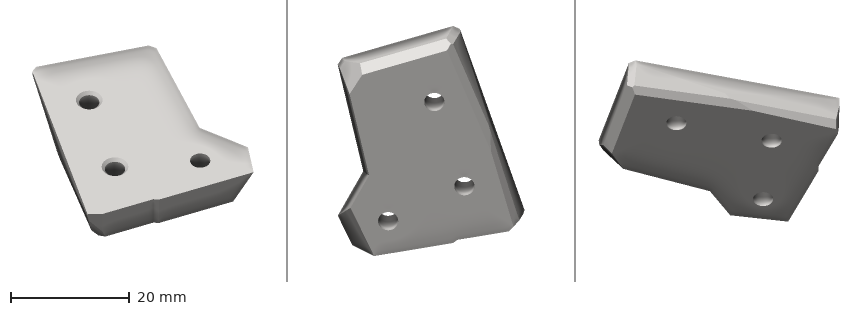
import cadquery as cq

LENGTH = 37.03
DEPTH = 30.25
THICKNESS = 5.5

FRONT_RIGHT_X = 36.45
RIGHT_CORNER_Y = 2.45
NICK_INNER = (35.85, 11.63)
NICK_OUTER = (36.18, 12.5)
NOSE_RIGHT = (34.0, 29.62)
NOSE_TIP = (27.95, DEPTH)
NOSE_ROOT = (21.33, 23.63)
BACK_CHAMFER_END = (0.95, 21.63)
BACK_CHAMFER_START_Y = 20.55
FRONT_CHAMFER_X = 0.9
FRONT_CHAMFER_Y = 0.9

NOSE_END_UNDERCUT = 3.65
BACK_UNDERCUT = 1.37
BACK_CHAMFER_UNDERCUT = 1.78
FRONT_CHAMFER_UNDERCUT = 1.7

LEFT_BEVEL = 1.48
BACK_CORNER_TOP_Z = 4.05
BACK_CORNER_LOW_Y = 17.35

HOLE_DIAMETER = 3.4
COUNTERSINK_DIAMETER = 4.48
COUNTERSINK_ANGLE = 90.0
FRONT_HOLES_Y = 7.45
COUNTERSUNK_HOLES = [(10.05, FRONT_HOLES_Y), (26.62, FRONT_HOLES_Y)]
PLAIN_HOLE = (28.95, 21.65)

INSIDE = cq.Vector(LENGTH / 2, DEPTH / 3, THICKNESS / 2)
CUTTER_SIZE = 4 * LENGTH


def outside(a, b, c):
    """Block filling the side away from INSIDE of the plane through three points."""
    a, b, c = cq.Vector(*a), cq.Vector(*b), cq.Vector(*c)
    normal = (b - a).cross(c - a)
    if normal.dot(INSIDE - a) > 0:
        normal = normal * -1
    plane = cq.Plane(origin=a, xDir=b - a, normal=normal)
    return cq.Workplane(plane).box(CUTTER_SIZE, CUTTER_SIZE, CUTTER_SIZE, centered=(True, True, False))


def outside_sloped_side(start, end, shift_y=0.0):
    """Cutter for a side through a top edge, moved along Y by the shift at the bottom face."""
    return outside(
        (*start, THICKNESS),
        (*end, THICKNESS),
        (start[0], start[1] + shift_y, 0),
    )


def blank():
    """Upright plate with the plain left, front and right sides."""
    corners = [
        (0, 0),
        (FRONT_RIGHT_X, 0),
        (LENGTH, RIGHT_CORNER_Y),
        NICK_INNER,
        NICK_OUTER,
        NOSE_RIGHT,
        NOSE_TIP,
        (0, DEPTH),
    ]
    return cq.Workplane("XY").polyline(corners).close().extrude(THICKNESS)


def cut_back_sides(body):
    """Undercut nose end, upright nose flank and undercut back side."""
    body = body.cut(outside_sloped_side(NOSE_TIP, NOSE_RIGHT, shift_y=-NOSE_END_UNDERCUT))
    nose_flank = outside_sloped_side(NOSE_ROOT, NOSE_TIP)
    back_side = outside_sloped_side(BACK_CHAMFER_END, NOSE_ROOT, shift_y=-BACK_UNDERCUT)
    return body.cut(back_side.intersect(nose_flank))


def cut_left_corners(body):
    """Sloping corner chamfers, the bevel along the lower left edge and the back corner facet."""
    back_start = (0, BACK_CHAMFER_START_Y)
    body = body.cut(outside_sloped_side(back_start, BACK_CHAMFER_END, shift_y=-BACK_CHAMFER_UNDERCUT))
    body = body.cut(outside_sloped_side(
        (0, FRONT_CHAMFER_Y), (FRONT_CHAMFER_X, 0), shift_y=FRONT_CHAMFER_UNDERCUT))
    body = body.cut(outside((0, 0, LEFT_BEVEL), (0, DEPTH, LEFT_BEVEL), (LEFT_BEVEL, 0, 0)))

    drop = (THICKNESS - BACK_CORNER_TOP_Z) / THICKNESS * BACK_CHAMFER_UNDERCUT
    facet_start = (0, BACK_CHAMFER_START_Y - drop, BACK_CORNER_TOP_Z)
    facet_end = (BACK_CHAMFER_END[0], BACK_CHAMFER_END[1] - drop, BACK_CORNER_TOP_Z)
    return body.cut(outside(facet_start, facet_end, (0, BACK_CORNER_LOW_Y, LEFT_BEVEL)))


def cut_front_facets(body):
    """Two shallow facets that meet in a low valley, and the bevels and right corner facet beside them."""
    valley = (16.55, 0, 1.7)
    left_facet_low = (1.07, 1.25, 0.9)
    facet_seam_low = (17.6, 0.195, 0.9)
    right_bevel_start = (18.5, 0.245, 0.8)
    right_facet_low = (36.05, 0.78, 1.15)
    bevel_seam_low = (21.75, 1.2, 0)
    right_facet_top = (FRONT_RIGHT_X, 0, 5.05)
    left_bevel_base = (LEFT_BEVEL, 2.48, 0)
    corner_facet_apex = (36.47, 0.22, 3.93)
    corner_facet_base = (36.35, 1.85, 0)
    facet_planes = [
        (valley, left_facet_low, facet_seam_low),
        (valley, right_facet_top, right_facet_low),
        (left_facet_low, facet_seam_low, left_bevel_base),
        (right_bevel_start, right_facet_low, bevel_seam_low),
        (corner_facet_apex, right_facet_low, corner_facet_base),
    ]
    for plane_points in facet_planes:
        body = body.cut(outside(*plane_points))
    return body


def cut_holes(body):
    """Two countersunk holes and one plain hole, all passing through."""
    top = cq.Workplane("XY").workplane(offset=THICKNESS)
    body = body.copyWorkplane(top).pushPoints(COUNTERSUNK_HOLES).cskHole(
        HOLE_DIAMETER, COUNTERSINK_DIAMETER, COUNTERSINK_ANGLE)
    return body.copyWorkplane(top).pushPoints([PLAIN_HOLE]).hole(HOLE_DIAMETER)


result = cut_holes(cut_front_facets(cut_left_corners(cut_back_sides(blank()))))